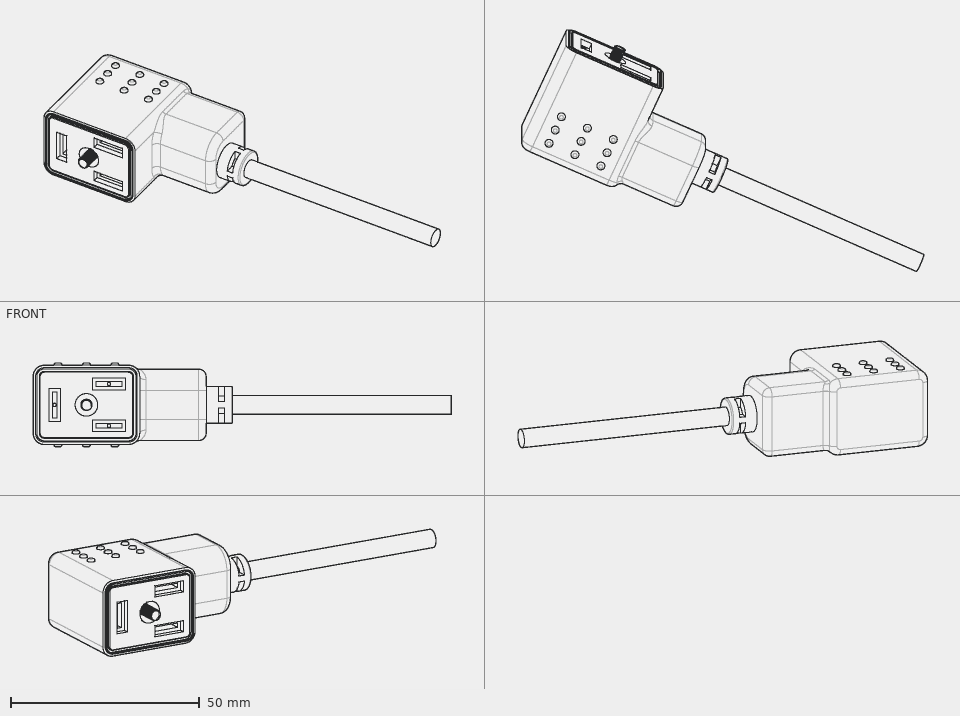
import cadquery as cq


housing_length = 28.2
housing_depth = 30.5
housing_height = 21.0
corner_radius = 3.0
back_radius = 2.0
housing_middle = housing_length / 2

lip_width = 0.7
lip_setback = 0.3
groove_outer_inset = 1.0
groove_inner_inset = 1.7
groove_depth = 0.7
groove_inner_chamfer = 0.2

neck_end = 45.8
neck_height = 18.9
neck_width = 18.2
neck_front_radius = 5.6
neck_base_radius = 1.7
neck_back_inset = 1.9
neck_back_y = housing_depth - neck_back_inset
neck_middle_y = neck_back_y - neck_width / 2

cable_end = 110.7
cable_diameter = 5.0
cable_radius = cable_diameter / 2
cable_axis_inset = 12.7
cable_y = housing_depth - cable_axis_inset
relief_end = 52.8
relief_radius = 4.9
relief_edge_radius = 0.3
window_start = 49.0
window_width = 1.7
rib_width = 1.7

button_radius = 1.05
button_height = 0.61
button_edge_radius = 0.5
button_pitch_x = 7.5
button_pitch_y = 4.0
button_middle_inset = 8.6
button_middle_y = housing_depth - button_middle_inset
button_root = 1.1
button_count = 3

opening_length = 8.7
opening_width = 3.1
opening_depth = 1.5
contact_slot_length = 6.9
contact_slot_width = 1.2
contact_slot_depth = 6.6
contact_hole_diameter = 0.9
contact_hole_depth = 8.9
upright_opening_offset = 8.4
flat_opening_offset = 6.0
flat_opening_z = 5.5

screw_diameter = 3.0
screw_projection = 3.1
clearance_diameter = 6.0
clearance_depth = 6.6
screw_seat_depth = 13.3
thread_pitch = 0.5
thread_depth = 0.28
thread_mouth_width = 0.4
thread_overshoot = 0.05
thread_turns = 18


def front_plane(x, y, z):
    """Sketch plane facing -Y with its local x along X and its local y along Z."""
    return cq.Workplane(cq.Plane(origin=(x, y, z), xDir=(1, 0, 0), normal=(0, -1, 0)))


def side_plane(x):
    """Sketch plane facing +X on the cable axis, with its local x along Y."""
    return cq.Workplane("YZ", origin=(x, cable_y, 0))


def face_outline(inset, depth):
    """Rounded block going into the contact face, its outline set in from the housing sides."""
    return (
        front_plane(housing_middle, 0, 0)
        .rect(housing_length - 2 * inset, housing_height - 2 * inset)
        .extrude(-depth)
        .edges("|Y")
        .fillet(corner_radius - inset)
    )


def make_shell():
    return (
        face_outline(0, housing_depth)
        .faces(">Y").edges().fillet(back_radius)
    )


def make_neck():
    length = neck_end - housing_middle
    neck = cq.Workplane("YZ", origin=(housing_middle, neck_middle_y, 0))
    neck = neck.rect(neck_width, neck_height).extrude(length)
    neck = neck.edges("|X and <Y").fillet(neck_front_radius)
    neck = neck.edges("|X and >Y").fillet(back_radius)
    return neck.faces(">X").edges().fillet(back_radius)


def cut_face_rim(body):
    lip = face_outline(0, lip_setback).cut(face_outline(lip_width, lip_setback))
    core = face_outline(groove_inner_inset, groove_depth)
    core = core.faces("<Y").edges().chamfer(groove_inner_chamfer)
    groove = face_outline(groove_outer_inset, groove_depth).cut(core)
    return body.cut(lip).cut(groove)


def round_neck_base(body):
    """Fillet the edges where the neck grows out of the housing wall."""
    margin = 0.1
    base_edges = cq.selectors.BoxSelector(
        (housing_length - corner_radius / 2, neck_back_y - neck_width - margin, -neck_height / 2 - margin),
        (housing_length + margin, neck_back_y + margin, neck_height / 2 + margin),
    )
    return body.edges(base_edges).fillet(neck_base_radius)


def make_relief():
    """Round sleeve with a ring of four windows, parted by ribs above, below and at both sides."""
    sleeve_start = neck_end - back_radius
    sleeve = side_plane(sleeve_start).circle(relief_radius).extrude(relief_end - sleeve_start)
    sleeve = sleeve.faces(">X").edges().fillet(relief_edge_radius)
    ring = side_plane(window_start).circle(relief_radius).circle(cable_radius).extrude(window_width)
    rib_length = 2 * relief_radius
    ribs = side_plane(window_start).rect(rib_length, rib_width).extrude(window_width)
    ribs = ribs.union(side_plane(window_start).rect(rib_width, rib_length).extrude(window_width))
    return sleeve.cut(ring.cut(ribs))


def make_cable():
    return side_plane(neck_end).circle(cable_radius).extrude(cable_end - neck_end)


def make_button(x, y, side):
    """Domed button on the upper (side = 1) or lower (side = -1) wall, rooted inside the housing."""
    plane = cq.Plane(origin=(x, y, side * (housing_height / 2 - button_root)), normal=(0, 0, side))
    button = cq.Workplane(plane).circle(button_radius).extrude(button_root + button_height)
    outer_face = ">Z" if side > 0 else "<Z"
    return button.faces(outer_face).edges().fillet(button_edge_radius)


def add_buttons(body):
    middle = (button_count - 1) / 2
    for side in (1, -1):
        for column in range(button_count):
            for row in range(button_count):
                x = housing_middle + (column - middle) * button_pitch_x
                y = button_middle_y + (row - middle) * button_pitch_y
                body = body.union(make_button(x, y, side))
    return body


def make_contact_opening(x, z, angle):
    """Cutting tool for one opening: a shallow recess, a slot in its floor and a hole in the middle."""
    plane = front_plane(x, 0, z).transformed(rotate=(0, 0, angle))
    recess = plane.rect(opening_length, opening_width).extrude(-opening_depth)
    slot = plane.rect(contact_slot_length, contact_slot_width).extrude(-contact_slot_depth)
    hole = plane.circle(contact_hole_diameter / 2).extrude(-contact_hole_depth)
    return recess.union(slot).union(hole)


def cut_contact_openings(body):
    flat_x = housing_middle + flat_opening_offset
    upright_x = housing_middle - upright_opening_offset
    body = body.cut(make_contact_opening(upright_x, 0, 90))
    for z in (flat_opening_z, -flat_opening_z):
        body = body.cut(make_contact_opening(flat_x, z, 0))
    return body


def cut_screw_hole(body):
    clearance = front_plane(housing_middle, 0, 0).circle(clearance_diameter / 2).extrude(-clearance_depth)
    seat = front_plane(housing_middle, 0, 0).circle(screw_diameter / 2).extrude(-screw_seat_depth)
    return body.cut(clearance).cut(seat)


def make_housing():
    body = round_neck_base(make_shell().union(make_neck()))
    body = cut_face_rim(body)
    body = add_buttons(body)
    body = body.union(make_relief()).union(make_cable())
    body = cut_contact_openings(body)
    return cut_screw_hole(body)


def make_thread_groove():
    """Helical V groove along Y, starting one pitch in front of the screw tip."""
    helix = cq.Wire.makeHelix(thread_pitch, thread_turns * thread_pitch, screw_diameter / 2)
    root_radius = screw_diameter / 2 - thread_depth
    mouth_radius = screw_diameter / 2 + thread_overshoot
    groove = (
        cq.Workplane("XZ")
        .moveTo(root_radius, 0)
        .lineTo(mouth_radius, thread_mouth_width / 2)
        .lineTo(mouth_radius, -thread_mouth_width / 2)
        .close()
        .sweep(cq.Workplane(obj=helix), isFrenet=True)
    )
    groove = groove.rotate((0, 0, 0), (0, 0, 1), 180).rotate((0, 0, 0), (1, 0, 0), -90)
    return groove.translate((housing_middle, -screw_projection - thread_pitch, 0))


def make_screw():
    length = screw_projection + screw_seat_depth
    shank = front_plane(housing_middle, -screw_projection, 0).circle(screw_diameter / 2).extrude(-length)
    return shank.cut(make_thread_groove())


housing = make_housing()
screw = make_screw()
result = cq.Compound.makeCompound([housing.solids().val(), screw.solids().val()])